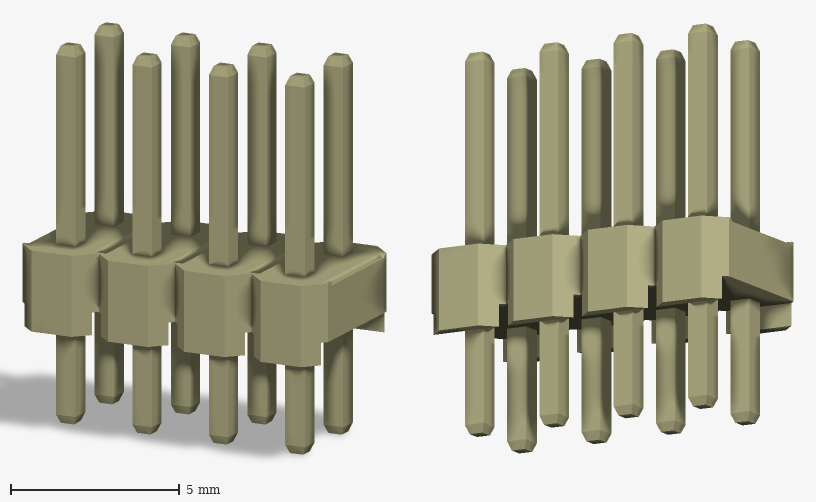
import cadquery as cq

columns = 4
rows = 2
pitch = 2.54

body_length = columns * pitch
body_width = rows * pitch
body_bottom = 3.0
body_height = 2.49
body_top = body_bottom + body_height
corner_chamfer = 0.6

foot_depth = 0.45
foot_height = 0.7

groove_width = 0.42
groove_length = 3.68
groove_depth = 0.1
groove_inset = 0.1

pin_height = 11.6
pin_size = 0.65
tip_height = 0.27
tip_inset = 0.1


def box_on(center_x, length, width, bottom, height):
    """Box centred on the X axis of the part, standing on the given level."""
    return (
        cq.Workplane("XY")
        .box(length, width, height, centered=(True, True, False))
        .translate((center_x, 0, bottom))
    )


def frustum(length, width, inset, height):
    """Rectangle at Z = 0 that shrinks by the inset on every side over a signed height."""
    return (
        cq.Workplane("XY")
        .rect(length, width)
        .workplane(offset=height)
        .rect(length - 2 * inset, width - 2 * inset)
        .loft(ruled=True)
    )


def make_body():
    body = None
    for column in range(columns):
        center_x = (column + 0.5) * pitch - body_length / 2
        cell = box_on(center_x, pitch, body_width, body_bottom, body_height)
        cell = cell.edges("|Z").chamfer(corner_chamfer)
        body = cell if body is None else body.union(cell)
    return body


def make_channel():
    return box_on(0, body_length, body_width - 2 * foot_depth, body_bottom, foot_height)


def make_groove(boundary_x):
    groove = frustum(groove_width, groove_length, groove_inset, -groove_depth)
    return groove.translate((boundary_x, 0, body_top))


def make_pin():
    shank_top = pin_height - tip_height
    shank = box_on(0, pin_size, pin_size, tip_height, shank_top - tip_height)
    top_tip = frustum(pin_size, pin_size, tip_inset, tip_height).translate((0, 0, shank_top))
    bottom_tip = frustum(pin_size, pin_size, tip_inset, -tip_height).translate((0, 0, tip_height))
    return shank.union(top_tip).union(bottom_tip)


result = make_body().cut(make_channel())

for boundary in range(columns + 1):
    result = result.cut(make_groove(boundary * pitch - body_length / 2))

pin = make_pin()
for column in range(columns):
    for row in range(rows):
        pin_x = (column + 0.5) * pitch - body_length / 2
        pin_y = (row + 0.5) * pitch - body_width / 2
        result = result.union(pin.translate((pin_x, pin_y, 0)))